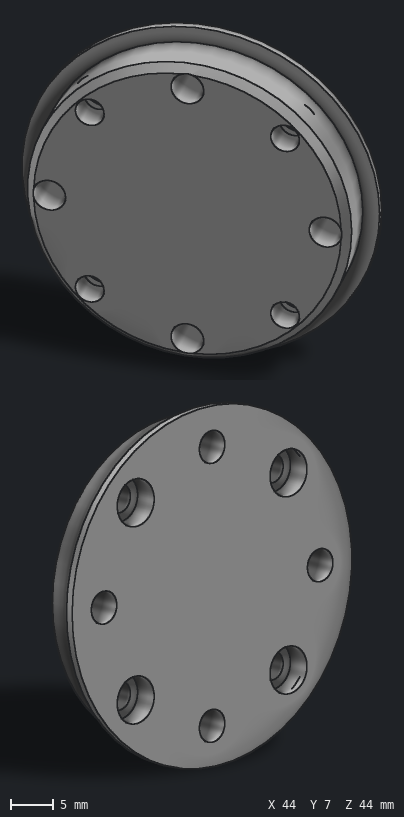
import cadquery as cq

flange_diameter = 44.0
flange_thickness = 1.0
total_depth = 7.0
plug_diameter = 39.85
front_chamfer = 1.0

hole_circle_radius = 17.0
holes_per_size = 4
large_hole_diameter = 4.0
small_hole_diameter = 3.5
large_hole_start_angle = 0
small_hole_start_angle = 45

counterbore_diameter = 5.8
counterbore_depth = 3.0


def disc(diameter, depth):
    """Disc on the part axis, running from the rear face (Y = 0) toward -Y."""
    return cq.Workplane("XZ").circle(diameter / 2).extrude(depth)


def hole_cutters(diameter, depth, start_angle):
    """Evenly spaced cylinders on the hole circle, cut from the rear face."""
    return (
        cq.Workplane("XZ")
        .polarArray(hole_circle_radius, start_angle, 360, holes_per_size)
        .circle(diameter / 2)
        .extrude(depth)
    )


flange = disc(flange_diameter, flange_thickness)
plug = disc(plug_diameter, total_depth).faces("<Y").chamfer(front_chamfer)

large_holes = hole_cutters(large_hole_diameter, total_depth, large_hole_start_angle)
small_holes = hole_cutters(small_hole_diameter, total_depth, small_hole_start_angle)
counterbores = hole_cutters(counterbore_diameter, counterbore_depth, small_hole_start_angle)

result = flange.union(plug).cut(large_holes).cut(small_holes).cut(counterbores)